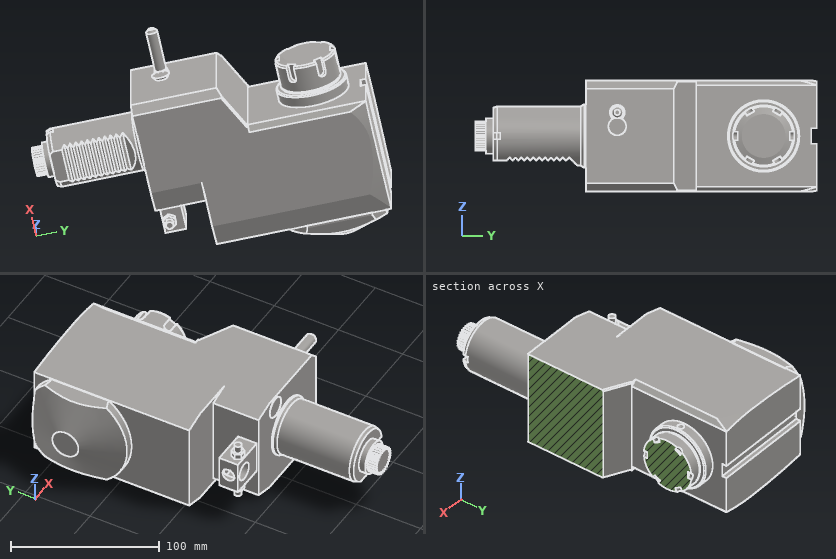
import cadquery as cq
import math

housing_height = 75.0
half_height = housing_height / 2
overall_length = 231

left_x = -71.5
step_x = -39.0
step_y = 35.3
spindle_wall_x = 9.2
slope_top_y = 74.5
right_x = 39.0
slope_bottom_y = 59.4
shank_overhang = 74.8
back_y = overall_length - shank_overhang

left_bevel_angle = 15
left_bevel_width = 14.8
left_bevel_drop = left_bevel_width * math.tan(math.radians(left_bevel_angle))
wall_bevel_width = 4.5
wall_bevel_drop = 3.2
right_bevel = 5.8
slope_bevel = 1.0

crest_x = -18.0
crown_left_radius = 439
crown_right_radius = 145.5
crown_slope = 0.2
crown_height = 37.0
back_slot_width = 10.5
back_slot_depth = 3.7

spindle_y = 120.1
cap_radius = 40.0
cap_nose_radius = 10.2
cap_rim_x = -77.8
cap_tip_x = -92.0
cap_half_height = 33.0
cap_back_y = 151.8

collar_radius = 24.3
collar_end_x = 17.5
collar_chamfer = 1.0
neck_radius = 20.0
nut_start_x = 18.7
nut_radius = 20.8
nut_shoulder_x = 36.5
nut_edge_x = 37.9
nut_edge_radius = 19.9
nut_end_x = 39.3
nut_face_radius = 14.8
nut_slot_count = 6
nut_slot_width = 5.8
nut_slot_depth = 3.2
nut_slot_start_x = 26.3
dimple_x = 13.5
dimple_radius = 2.5
dimple_depth = 2.3

shank_radius = 20.0
shank_end_y = -62.5
shank_chamfer_length = 2.8
shank_chamfer_depth = 1.0
flange_radius = 21.5
flange_thickness = 1.2
flange_length = 3.5
nose_radius = 12.0
nose_end_y = -67.5
spline_radius = 10.0
spline_root_radius = 8.5
spline_count = 30
key_half_width = 2.3
key_step_x = 15.2
key_depth = 4.6
key_inner_depth = 2.3

flat_z = -16.6
serration_root_z = -14.5
serration_length = 40.0
serration_count = 10
serration_pitch = serration_length / serration_count
serration_start_y = -11.5
relief_start_y = -5.5
relief_bottom_z = -20.0

block_left_x = -64.7
block_half_height = 12.2
block_front_y = 1.5
block_back_y = 16.0
screw_x = -56.1
screw_y = 6.2
screw_radius = 2.5
screw_top_z = 22.0
screw_nut_sides = 6
screw_nut_width = 9.2
screw_nut_top_z = 16.5
front_port_radius = 6.5
front_port_depth = 12.2
side_port_y = 8.8
side_port_radius = 4.6
side_bore_radius = 1.2
side_bore_end_x = -47.4

pin_y = 21.3
pin_z = 16.0
pin_radius = 4.0
pin_tip_x = 71.5
pin_chamfer = 2.0
fitting_length = 2.5
pin_collar_base_radius = 5.0
pin_collar_tip_radius = 4.2
seal_z = 6.5
seal_base_radius = 4.5
seal_rim_radius = 6.0

plug_x = -16.0
plug_z = 27.7
plug_radius = 7.6
plug_depth = 0.2


def box(x_range, y_range, z_range):
    """Box between the given limits on each axis."""
    sizes = [high - low for low, high in (x_range, y_range, z_range)]
    corner = (x_range[0], y_range[0], z_range[0])
    return cq.Workplane("XY").box(*sizes, centered=False).translate(corner)


def turned_on_x(profile, y, z):
    """Solid turned about an axis parallel to X; profile holds (x, radius) points."""
    outline = [(profile[0][0], 0)] + profile + [(profile[-1][0], 0)]
    turned = cq.Workplane("XY").polyline(outline).close().revolve(360, (0, 0), (1, 0))
    return turned.translate((0, y, z))


def turned_on_y(profile):
    """Solid turned about the Y axis; profile holds (y, radius) points."""
    outline = [(0, profile[0][0])] + [(r, y) for y, r in profile] + [(0, profile[-1][0])]
    return cq.Workplane("XY").polyline(outline).close().revolve(360, (0, 0), (0, 1))


def mirrored_pair(solid):
    """The solid together with its mirror image across the mid plane."""
    return solid.union(solid.mirror("XY"))


def edge_bevel(start, end, width, drop):
    """Cutter for the top and bottom edges of a wall; the material lies left of start -> end."""
    run_x = end[0] - start[0]
    run_y = end[1] - start[1]
    length = math.hypot(run_x, run_y)
    outward = (run_y / length, -run_x / length, 0)
    along = (run_x / length, run_y / length, 0)
    section = cq.Workplane(cq.Plane((start[0], start[1], half_height), outward, along))
    triangle = section.polyline([(-width, 0), (width, 2 * drop), (width, -drop), (0, -drop)])
    return mirrored_pair(triangle.close().extrude(length))


def crown_part(radius, x_range):
    """Part of the crown on one side of the crest; it trims the top toward the back end."""
    front_radius = radius + crown_slope * back_y
    base = cq.Vector(crest_x, back_y, crown_height - radius)
    cone = cq.Solid.makeCone(radius, front_radius, back_y, base, cq.Vector(0, -1, 0))
    return box(x_range, (0, back_y), (-half_height, half_height)).intersect(cq.Workplane("XY").add(cone))


def make_housing():
    plan = [
        (step_x, 0),
        (right_x, 0),
        (right_x, slope_bottom_y),
        (spindle_wall_x, slope_top_y),
        (spindle_wall_x, back_y),
        (left_x, back_y),
        (left_x, step_y),
        (step_x, step_y),
    ]
    body = cq.Workplane("XY").polyline(plan).close().extrude(half_height, both=True)
    bevels = [
        (plan[5], plan[6], left_bevel_width, left_bevel_drop),
        (plan[7], plan[0], left_bevel_width, left_bevel_drop),
        (plan[3], plan[4], wall_bevel_width, wall_bevel_drop),
        (plan[1], (right_x, slope_top_y), right_bevel, right_bevel),
        (plan[2], plan[3], slope_bevel, slope_bevel),
    ]
    for bevel in bevels:
        body = body.cut(edge_bevel(*bevel))
    crown = crown_part(crown_left_radius, (left_x, crest_x))
    crown = crown.union(crown_part(crown_right_radius, (crest_x, right_x)))
    body = body.intersect(crown).intersect(crown.mirror("XY"))
    half_slot = back_slot_width / 2
    slot = box((left_x, spindle_wall_x), (back_y - back_slot_depth, back_y), (-half_slot, half_slot))
    plug = cq.Workplane("XZ").center(plug_x, plug_z).circle(plug_radius).extrude(-plug_depth)
    return body.cut(slot).cut(plug)


def make_cap():
    dome = turned_on_x(
        [(cap_tip_x, cap_nose_radius), (cap_rim_x, cap_radius), (left_x, cap_radius)], spindle_y, 0
    )
    slope = math.tan(math.radians(left_bevel_angle))
    edge_z = half_height - left_bevel_drop
    level_x = left_x - (edge_z - cap_half_height) / slope
    tip_z = cap_half_height - (level_x - cap_tip_x) * slope
    side = [
        (left_x, -cap_half_height),
        (left_x, cap_half_height),
        (level_x, cap_half_height),
        (cap_tip_x, tip_z),
        (cap_tip_x, -tip_z),
        (level_x, -cap_half_height),
    ]
    side_envelope = cq.Workplane("XZ").polyline(side).close().extrude(-(spindle_y + cap_radius))
    cut_back = box((cap_tip_x, left_x), (cap_back_y, back_y + cap_radius), (-cap_radius, cap_radius))
    return dome.intersect(side_envelope).cut(cut_back)


def make_spindle():
    spindle = turned_on_x(
        [
            (spindle_wall_x, collar_radius),
            (collar_end_x - collar_chamfer, collar_radius),
            (collar_end_x, collar_radius - collar_chamfer),
            (collar_end_x, neck_radius),
            (nut_start_x, neck_radius),
            (nut_start_x, nut_radius),
            (nut_shoulder_x, nut_radius),
            (nut_edge_x, nut_edge_radius),
            (nut_end_x, nut_face_radius),
        ],
        spindle_y,
        0,
    )
    slot_end_x = nut_end_x + nut_slot_width
    slot_length = slot_end_x - nut_slot_start_x
    slot = (
        cq.Workplane("XY", origin=(0, spindle_y, nut_radius - nut_slot_depth))
        .center(nut_slot_start_x + slot_length / 2, 0)
        .slot2D(slot_length, nut_slot_width)
        .extrude(2 * nut_slot_depth)
    )
    spacing = 360 / nut_slot_count
    axis_start = (0, spindle_y, 0)
    axis_end = (1, spindle_y, 0)
    for index in range(nut_slot_count):
        spindle = spindle.cut(slot.rotate(axis_start, axis_end, (index + 0.5) * spacing))
    dimple_top = cq.Vector(dimple_x, spindle_y, collar_radius)
    dimple = cq.Solid.makeCone(dimple_radius, 0, dimple_depth, dimple_top, cq.Vector(0, 0, -1))
    return spindle.cut(cq.Workplane("XY").add(dimple))


def make_spline():
    """Toothed drive end with straight-sided triangular teeth."""
    points = []
    for index in range(2 * spline_count):
        radius = spline_radius if index % 2 == 0 else spline_root_radius
        angle = math.pi * index / spline_count
        points.append((radius * math.cos(angle), radius * math.sin(angle)))
    start = cq.Workplane("XZ", origin=(0, nose_end_y, 0))
    return start.polyline(points).close().extrude(nose_end_y + shank_overhang)


def serration_cutter():
    """Flat with a ramp at the flange end and a row of V grooves."""
    ramp_y = relief_start_y - (serration_root_z - relief_bottom_z)
    last_y = serration_start_y - serration_length
    outline = [
        (relief_start_y, relief_bottom_z),
        (ramp_y, serration_root_z),
    ]
    for index in range(serration_count):
        tip_y = serration_start_y - (index + 0.5) * serration_pitch
        outline.append((tip_y, flat_z))
        outline.append((tip_y - serration_pitch / 2, serration_root_z))
    outline.append((last_y - (serration_root_z - flat_z), flat_z))
    outline.append((shank_end_y, flat_z))
    outline.append((shank_end_y, -flange_radius))
    outline.append((relief_start_y, -flange_radius))
    return cq.Workplane("YZ").polyline(outline).close().extrude(flange_radius, both=True)


def make_shank():
    shank = turned_on_y(
        [
            (0, flange_radius),
            (-flange_thickness, flange_radius),
            (-flange_length, shank_radius),
            (shank_end_y + shank_chamfer_length, shank_radius),
            (shank_end_y, shank_radius - shank_chamfer_depth),
        ]
    )
    shank = shank.cut(serration_cutter())
    key_z = (-key_half_width, key_half_width)
    shank = shank.cut(box((key_step_x, shank_radius), (shank_end_y, shank_end_y + key_depth), key_z))
    shank = shank.cut(box((nose_radius, key_step_x), (shank_end_y, shank_end_y + key_inner_depth), key_z))
    nose = turned_on_y([(shank_end_y, nose_radius), (nose_end_y, nose_radius)])
    return shank.union(nose).union(make_spline())


def make_coolant_block():
    block = box(
        (block_left_x, step_x), (block_front_y, block_back_y), (-block_half_height, block_half_height)
    )
    front_start = cq.Workplane("XZ", origin=(screw_x, block_front_y, 0))
    front_port = front_start.circle(front_port_radius).extrude(-front_port_depth)
    side_start = cq.Workplane("YZ", origin=(block_left_x, side_port_y, 0))
    side_port = side_start.circle(side_port_radius).extrude(screw_x - block_left_x)
    side_bore = side_start.circle(side_bore_radius).extrude(side_bore_end_x - block_left_x)
    seat = cq.Workplane("XY", origin=(screw_x, screw_y, block_half_height))
    screw = seat.circle(screw_radius).extrude(screw_top_z - block_half_height)
    nut = seat.polygon(screw_nut_sides, screw_nut_width).extrude(screw_nut_top_z - block_half_height)
    return block.cut(front_port).cut(side_port).cut(side_bore).union(mirrored_pair(screw.union(nut)))


def make_pin_and_seal():
    fitting_end_x = right_x + fitting_length
    pin = turned_on_x(
        [
            (right_x, pin_collar_base_radius),
            (fitting_end_x, pin_collar_tip_radius),
            (fitting_end_x, pin_radius),
            (pin_tip_x - pin_chamfer, pin_radius),
            (pin_tip_x, pin_radius - pin_chamfer),
        ],
        pin_y,
        pin_z,
    )
    seal = turned_on_x([(right_x, seal_base_radius), (fitting_end_x, seal_rim_radius)], pin_y, seal_z)
    return pin.union(seal)


result = (
    make_housing()
    .union(make_cap())
    .union(make_spindle())
    .union(make_shank())
    .union(make_coolant_block())
    .union(make_pin_and_seal())
)